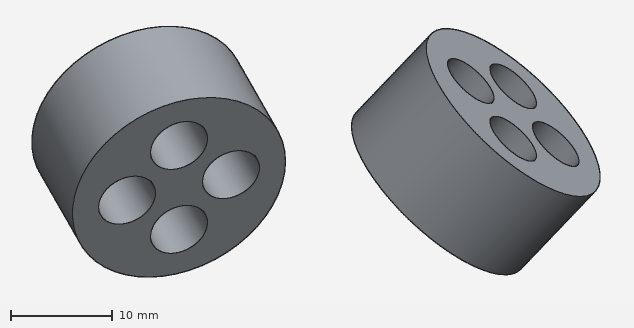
import cadquery as cq

disc_diameter = 22.5
disc_thickness = 11.5
hole_diameter = 6.0
hole_circle_radius = 5.5
hole_count = 4

disc = (
    cq.Workplane("YZ")
    .circle(disc_diameter / 2)
    .extrude(disc_thickness)
)

holes = (
    cq.Workplane("YZ")
    .polarArray(hole_circle_radius, 0, 360, hole_count)
    .circle(hole_diameter / 2)
    .extrude(disc_thickness)
)

result = disc.cut(holes)